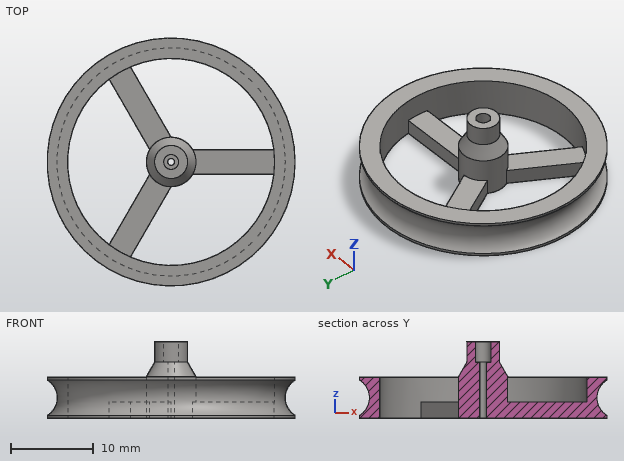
import cadquery as cq
import math

rim_diameter = 30.0
rim_bore_diameter = 25.0
rim_height = 5.0
groove_radius = 2.5
groove_depth = 1.2

hub_diameter = 6.0
neck_diameter = 4.0
neck_height = 2.5
total_height = 9.3
cone_angle = 60.0

bore_diameter = 0.8
counterbore_diameter = 1.8
counterbore_depth = neck_height

spoke_count = 3
spoke_width = 3.0
spoke_thickness = 2.0

rim_radius = rim_diameter / 2
rim_bore_radius = rim_bore_diameter / 2
hub_radius = hub_diameter / 2
neck_radius = neck_diameter / 2
neck_bottom = total_height - neck_height
cone_height = (hub_radius - neck_radius) * math.tan(math.radians(cone_angle))
cone_bottom = neck_bottom - cone_height


def revolve_about_z(profile):
    """Turn a closed profile in the XZ plane about the Z axis."""
    return profile.revolve(360, (0, 0, 0), (0, 1, 0))


def make_rim():
    """Ring with a circular-arc belt groove between two narrow lips."""
    groove_floor_radius = rim_radius - groove_depth
    arc_center_offset = groove_radius - groove_depth
    half_groove = math.sqrt(groove_radius**2 - arc_center_offset**2)
    mid_height = rim_height / 2
    profile = (
        cq.Workplane("XZ")
        .moveTo(rim_bore_radius, 0)
        .lineTo(rim_radius, 0)
        .lineTo(rim_radius, mid_height - half_groove)
        .threePointArc((groove_floor_radius, mid_height), (rim_radius, mid_height + half_groove))
        .lineTo(rim_radius, rim_height)
        .lineTo(rim_bore_radius, rim_height)
        .close()
    )
    return revolve_about_z(profile)


def make_hub():
    """Solid hub tapering into its neck."""
    profile = (
        cq.Workplane("XZ")
        .moveTo(0, 0)
        .lineTo(hub_radius, 0)
        .lineTo(hub_radius, cone_bottom)
        .lineTo(neck_radius, neck_bottom)
        .lineTo(neck_radius, total_height)
        .lineTo(0, total_height)
        .close()
    )
    return revolve_about_z(profile)


def make_spoke(angle):
    """Flat bar from the axis into the rim, stopping halfway through the thinnest rim wall."""
    length = (rim_bore_radius + rim_radius - groove_depth) / 2
    bar = cq.Workplane("XY").box(
        length, spoke_width, spoke_thickness, centered=(False, True, False)
    )
    return bar.rotate((0, 0, 0), (0, 0, 1), angle)


def make_bore():
    """Through bore with a wider blind bore from the neck end."""
    through_bore = cq.Workplane("XY").circle(bore_diameter / 2).extrude(total_height)
    counterbore = (
        cq.Workplane("XY")
        .workplane(offset=total_height - counterbore_depth)
        .circle(counterbore_diameter / 2)
        .extrude(counterbore_depth)
    )
    return through_bore.union(counterbore)


wheel = make_rim().union(make_hub())
for index in range(spoke_count):
    wheel = wheel.union(make_spoke(index * 360 / spoke_count))

result = wheel.cut(make_bore())